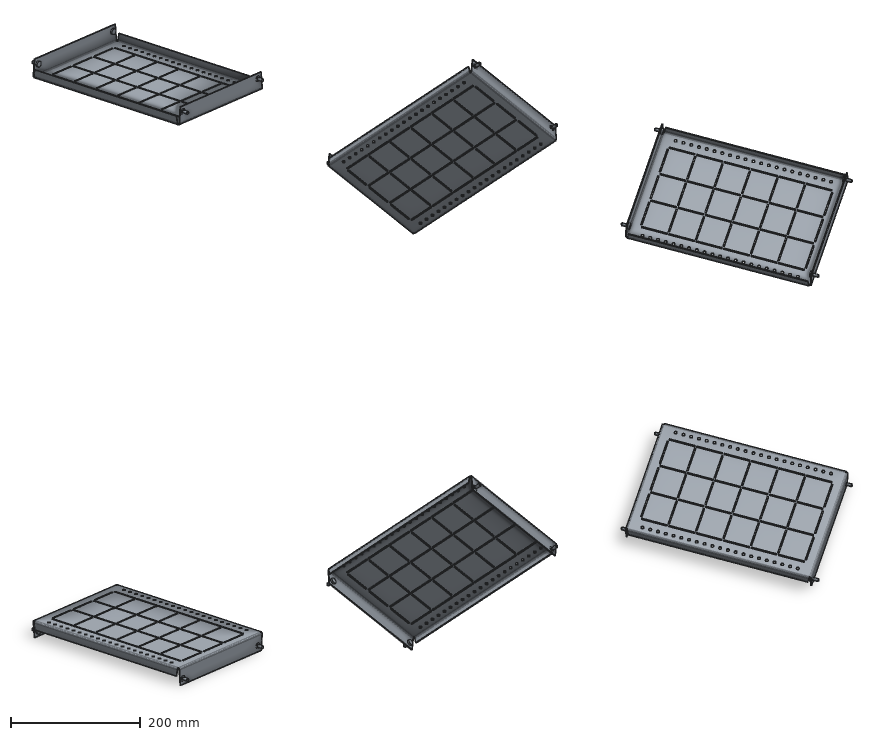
import cadquery as cq

overall_height = 962.0
tray_length = 299.0
tray_width = 199.0
sheet_thickness = 1.7
bend_radius = 3.0

flange_height = 30.0
flange_base_width = 194.0
flange_top_width = 189.5
lip_height = 14.0
lip_base_width = 292.0
lip_top_width = 289.0

cell_columns = 6
cell_rows = 3
grid_length = 265.0
grid_width = 147.0
slot_thickness = 2.1
slot_length = 41.0

hole_count = 21
hole_row_length = 250.0
hole_diameter = 4.3
hole_row_spacing = 176.0

overall_length = 318.0
screw_spacing = 176.0
screw_height = 20.0
screw_diameter = 5.0
screw_tip_chamfer = 1.4
screw_head_diameter = 10.0
screw_head_thickness = 3.0

cell_length = grid_length / cell_columns
cell_width = grid_width / cell_rows
hole_pitch = hole_row_length / (hole_count - 1)
screw_offset = screw_spacing / 2
floor_level = overall_height / 2 - flange_height
screw_level = floor_level + screw_height
flange_face = tray_length / 2
flange_inner_face = flange_face - sheet_thickness


def bent_wall(face_distance, height, base_width, top_width):
    """Wall on the +X side, rising from the floor through a round bend."""
    bend_start = face_distance - bend_radius
    inner_face = face_distance - sheet_thickness
    inner_radius = bend_radius - sheet_thickness
    section = (
        cq.Workplane("XZ")
        .moveTo(bend_start, 0)
        .radiusArc((face_distance, bend_radius), -bend_radius)
        .lineTo(face_distance, height)
        .lineTo(inner_face, height)
        .lineTo(inner_face, bend_radius)
        .radiusArc((bend_start, sheet_thickness), inner_radius)
        .close()
        .extrude(base_width / 2, both=True)
    )
    outline = (
        cq.Workplane("YZ")
        .polyline([
            (-base_width / 2, 0),
            (base_width / 2, 0),
            (base_width / 2, bend_radius),
            (top_width / 2, height),
            (-top_width / 2, height),
            (-base_width / 2, bend_radius),
        ])
        .close()
        .extrude(face_distance)
    )
    return section.intersect(outline)


def tray_floor():
    """Flat floor that ends where the bends start."""
    return cq.Workplane("XY").box(
        tray_length - 2 * bend_radius,
        tray_width - 2 * bend_radius,
        sheet_thickness,
        centered=(True, True, False),
    )


def slot_cutters():
    """Slots along the four sides of every cell of the grid."""
    def place(index, count, pitch):
        return (index - count / 2) * pitch

    along_x = [
        (place(i + 0.5, cell_columns, cell_length), place(j, cell_rows, cell_width))
        for i in range(cell_columns)
        for j in range(cell_rows + 1)
    ]
    along_y = [
        (place(i, cell_columns, cell_length), place(j + 0.5, cell_rows, cell_width))
        for i in range(cell_columns + 1)
        for j in range(cell_rows)
    ]
    plane = cq.Workplane("XY")
    cutters_x = (
        plane.pushPoints(along_x)
        .rect(slot_length, slot_thickness)
        .extrude(sheet_thickness)
    )
    cutters_y = (
        plane.pushPoints(along_y)
        .rect(slot_thickness, slot_length)
        .extrude(sheet_thickness)
    )
    return cutters_x.add(cutters_y).combine()


def hole_cutters():
    """Two rows of evenly spaced round holes."""
    return (
        cq.Workplane("XY")
        .rarray(hole_pitch, hole_row_spacing, hole_count, 2)
        .circle(hole_diameter / 2)
        .extrude(sheet_thickness)
    )


def make_tray():
    """Upper tray: perforated floor with the four walls bent upwards."""
    flange = bent_wall(flange_face, flange_height, flange_base_width, flange_top_width)
    lip = bent_wall(tray_width / 2, lip_height, lip_base_width, lip_top_width)
    tray = tray_floor().cut(slot_cutters()).cut(hole_cutters())
    for angle in (0, 180):
        tray = tray.union(flange.rotate((0, 0, 0), (0, 0, 1), angle))
        tray = tray.union(lip.rotate((0, 0, 0), (0, 0, 1), angle + 90))
    screw_holes = (
        cq.Workplane("YZ")
        .rarray(screw_spacing, 10, 2, 1)
        .circle(screw_diameter / 2)
        .extrude(flange_face, both=True)
        .translate((0, 0, screw_height))
    )
    return tray.cut(screw_holes).translate((0, 0, floor_level))


def make_screw():
    """Screw of the +X flange, head against the inner face and tip pointing outwards."""
    head = (
        cq.Workplane("YZ", origin=(flange_inner_face, 0, 0))
        .circle(screw_head_diameter / 2)
        .extrude(-screw_head_thickness)
    )
    shank = (
        cq.Workplane("YZ", origin=(flange_inner_face, 0, 0))
        .circle(screw_diameter / 2)
        .extrude(overall_length / 2 - flange_inner_face)
        .faces(">X")
        .chamfer(screw_tip_chamfer)
    )
    return head.union(shank)


upper_tray = make_tray()
trays = [upper_tray, upper_tray.mirror("XY")]

screw = make_screw()
screws = []
for turn in (0, 180):
    for side in (-screw_offset, screw_offset):
        for level in (-screw_level, screw_level):
            turned = screw.rotate((0, 0, 0), (0, 0, 1), turn)
            screws.append(turned.translate((0, side, level)))

result = cq.Compound.makeCompound([body.val() for body in trays + screws])